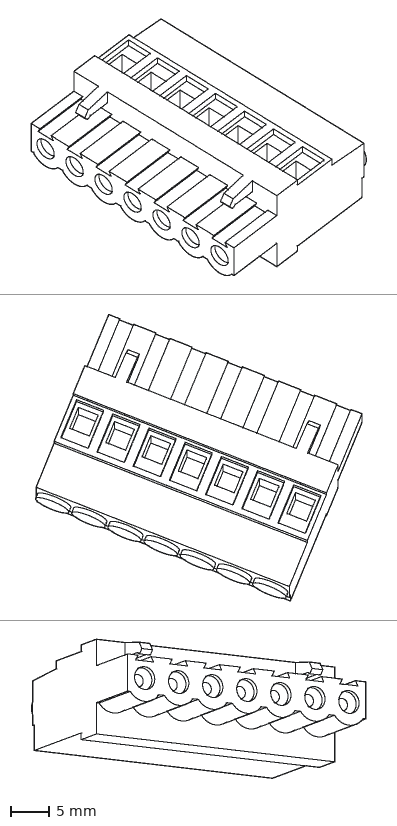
import cadquery as cq


length = 35.5
pole_count = 7
pitch = length / pole_count
pole_centres = [(i - (pole_count - 1) / 2) * pitch for i in range(pole_count)]

flange_front = 8.3
flange_back = 12.35
deck_back = 19.0
heel_back = 24.9
body_back = 25.25
height = 12.6
base_z = 0.9
heel_z = 4.25
slope_back_z = 10.22
slope_front_z = 10.65
deck_z = height - base_z

plug_top = 9.1
plug_flat_bottom = 4.15
socket_z = 6.15

belly_bottom = 3.05
belly_radius = 2.63
belly_z = belly_bottom + belly_radius

keyway_depth = 0.67
keyway_mouth = 1.95
keyway_floor = 2.63

socket_diameter = 3.0
socket_floor_diameter = 1.65
socket_straight_depth = 0.78
socket_depth = 1.85

pocket_width = 3.8
pocket_front = 12.75
pocket_back = 18.2
pocket_depth = 1.0
window_width = 2.77
window_front = 13.4
window_back = 16.4
window_depth = 4.97

collar_diameter = 4.7
collar_back = 25.9
collar_z = 6.7

latch_width = 1.6
latch_offset = length / 2 - pitch
latch_bottom = 10.65
latch_nose_y = 4.58
latch_nose_z = 11.95
latch_tip_y = 3.87
latch_tip_z = 10.97
latch_barb_y = 4.45
latch_barb_z = 10.35
latch_barb_back = 5.08


def extrude_across(points, width, x_centre=0.0):
    """Solid with a (Y, Z) outline, centred on x_centre."""
    profile = cq.Workplane("YZ").polyline(points).close()
    return profile.extrude(width / 2, both=True).translate((x_centre, 0, 0))


def block(x_centre, width, y_front, y_back, z_bottom, z_top):
    """Box centred on x_centre between the given Y and Z limits."""
    box = cq.Workplane("XY").box(width, y_back - y_front, z_top - z_bottom, centered=(True, False, False))
    return box.translate((x_centre, y_front, z_bottom))


def make_housing():
    return extrude_across(
        [
            (flange_front, 0),
            (flange_front, height),
            (flange_back, height),
            (flange_back, deck_z),
            (deck_back, deck_z),
            (deck_back, slope_front_z),
            (body_back, slope_back_z),
            (body_back, heel_z),
            (heel_back, heel_z),
            (heel_back, base_z),
            (flange_back, base_z),
            (flange_back, 0),
        ],
        length,
    )


def make_plug():
    """Flat bar with a round belly below each socket and a dovetail keyway above it."""
    plug = block(0, length, 0, flange_front, plug_flat_bottom, plug_top)
    for x in pole_centres:
        belly = cq.Workplane("XZ").center(x, belly_z).circle(belly_radius).extrude(-flange_front)
        lower_half = block(x, pitch, 0, flange_front, 0, belly_z)
        plug = plug.union(belly.intersect(lower_half))
    for x in pole_centres:
        keyway = (
            cq.Workplane("XZ")
            .polyline(
                [
                    (x - keyway_mouth / 2, plug_top),
                    (x - keyway_floor / 2, plug_top - keyway_depth),
                    (x + keyway_floor / 2, plug_top - keyway_depth),
                    (x + keyway_mouth / 2, plug_top),
                ]
            )
            .close()
            .extrude(-flange_front)
        )
        plug = plug.cut(keyway)
    return plug


def make_socket(x):
    """Straight mouth followed by a cone that narrows to a flat floor."""
    return (
        cq.Workplane("XY")
        .polyline(
            [
                (0, 0),
                (socket_diameter / 2, 0),
                (socket_diameter / 2, socket_straight_depth),
                (socket_floor_diameter / 2, socket_depth),
                (0, socket_depth),
            ]
        )
        .close()
        .revolve(360, (0, 0, 0), (0, 1, 0))
        .translate((x, 0, socket_z))
    )


def make_pocket(x):
    """Shallow recess in the deck with the window sunk below it."""
    recess = block(x, pocket_width, pocket_front, pocket_back, deck_z - pocket_depth, deck_z)
    window = block(x, window_width, window_front, window_back, deck_z - window_depth, deck_z)
    return recess.union(window)


def make_collar(x):
    collar = cq.Workplane("XZ").center(x, collar_z).circle(collar_diameter / 2)
    return collar.extrude(deck_back - collar_back).translate((0, deck_back, 0))


def make_latch(x):
    """Arm that slopes down to a small barb behind its tip."""
    return extrude_across(
        [
            (flange_front, height),
            (latch_nose_y, latch_nose_z),
            (latch_tip_y, latch_tip_z),
            (latch_barb_y, latch_barb_z),
            (latch_barb_back, latch_bottom),
            (flange_front, latch_bottom),
        ],
        latch_width,
        x,
    )


result = make_housing().union(make_plug())
for x in pole_centres:
    result = result.union(make_collar(x))
    result = result.cut(make_socket(x))
    result = result.cut(make_pocket(x))
for x in (-latch_offset, latch_offset):
    result = result.union(make_latch(x))